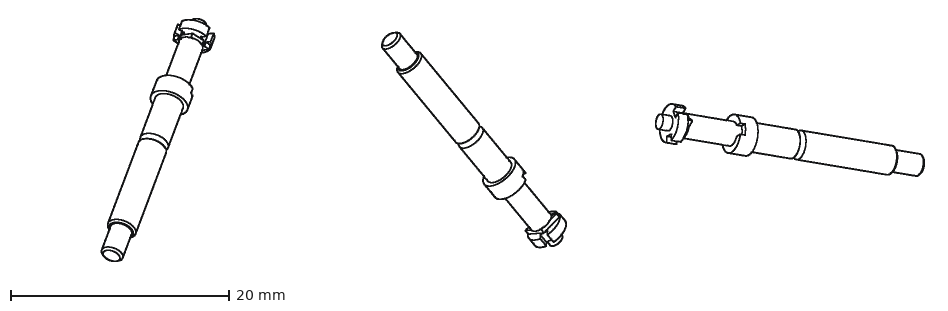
import cadquery as cq

total_length = 27.3

tip_radius = 1.05
body_radius = 1.36
collar_radius = 1.8
neck_radius = 1.15
plunger_radius = 0.7

tip_length = 3.0
body_length = 14.95
collar_length = 1.8
plunger_length = 1.0
crown_length = 1.0
key_length = 0.5

tip_chamfer = 0.22
body_chamfer = 0.2
groove_half_width = 0.3
groove_depth = 0.25
groove_y = 13.0

notch_width = 1.06
notch_depth = 0.5
slot_width = 0.8
slot_angles = (30, 150, 270)
key_half_width = 1.72

body_end = tip_length + body_length
collar_end = body_end + collar_length
crown_end = total_length - plunger_length
crown_start = crown_end - crown_length
key_start = crown_start - key_length


def cylinder(radius, start, end):
    """Solid cylinder on the Y axis between two stations."""
    disc = cq.Workplane("XZ", origin=(0, start, 0)).circle(radius)
    return disc.extrude(start - end)


def turned_rear():
    """Solder tip and grooved body, revolved from one half profile."""
    groove_bottom = (body_radius - groove_depth, groove_y)
    groove_top = (body_radius, groove_y + groove_half_width)
    profile = (
        cq.Workplane("XY")
        .moveTo(0, 0)
        .lineTo(tip_radius - tip_chamfer, 0)
        .lineTo(tip_radius, tip_chamfer)
        .lineTo(tip_radius, tip_length)
        .lineTo(body_radius - body_chamfer, tip_length)
        .lineTo(body_radius, tip_length + body_chamfer)
        .lineTo(body_radius, groove_y - groove_half_width)
        .threePointArc(groove_bottom, groove_top)
        .lineTo(body_radius, body_end)
        .lineTo(0, body_end)
        .close()
    )
    return profile.revolve(360, (0, 0, 0), (0, 1, 0))


def notched_collar():
    """Collar with a notch on each X side of its plunger-side face, cut down to the neck."""
    notch_start = collar_end - notch_depth
    notch = (
        cq.Workplane("XY")
        .box(2 * collar_radius, notch_depth, notch_width)
        .translate((0, notch_start + notch_depth / 2, 0))
        .cut(cylinder(neck_radius, notch_start, collar_end))
    )
    return cylinder(collar_radius, body_end, collar_end).cut(notch)


def slotted_head():
    """Crown disc and the diamond key behind it, with flat-bottomed slots in to the neck radius."""
    corners = [(key_half_width, 0), (0, neck_radius), (-key_half_width, 0), (0, -neck_radius)]
    key = cq.Workplane("XZ", origin=(0, key_start, 0)).polyline(corners).close().extrude(-key_length)
    head = key.union(cylinder(collar_radius, crown_start, crown_end))

    slot_depth = collar_radius - neck_radius
    slot = (
        cq.Workplane("XY")
        .box(slot_depth, crown_end - key_start, slot_width)
        .translate((neck_radius + slot_depth / 2, (key_start + crown_end) / 2, 0))
    )
    for angle in slot_angles:
        head = head.cut(slot.rotate((0, 0, 0), (0, -1, 0), angle))
    return head


neck = cylinder(neck_radius, collar_end, key_start)
plunger = cylinder(plunger_radius, crown_end, total_length)

result = turned_rear()
for piece in (notched_collar(), neck, slotted_head(), plunger):
    result = result.union(piece)